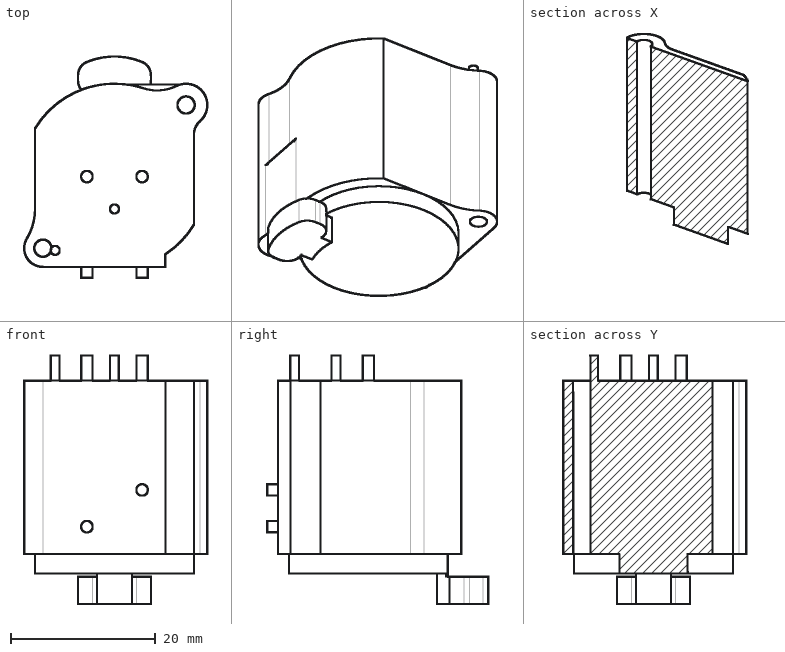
import cadquery as cq
import math

body_height = 24.0
body_radius = 12.85
flat_half_width = 11.0
bottom_flat_end = 7.05

lug_offset = 9.9
mount_hole_diameter = 2.35
rear_lug_radius = body_radius - lug_offset
front_face = 12.5
front_lug_radius = front_face - lug_offset

rear_side_fillet = 2.5
rear_top_fillet = 6.0
front_side_fillet = 7.9
ledge_height = body_height / 2
ledge_face = 12.75

boss_height = 2.7

lever_drop = 4.2
lever_gap = 0.4
lever_arm_half_width = 2.45
lever_arm_inner_radius = 9.8
lever_bottom = -boss_height - lever_drop
head_height = lever_drop - lever_gap
head_inner = 11.25
head_tip = 16.62
head_tip_radius = 10.0
head_half_width = 5.05
head_corner_radius = 2.0

large_pin_diameter = 1.6
small_pin_diameter = 1.25
pin_pitch = 2.54
pin_half_spacing = 1.5 * pin_pitch
top_pin_length = 3.5
side_pin_length = 1.5
large_pin_points = [(-pin_half_spacing, 0), (pin_half_spacing, 0)]
small_pin_points = [(0, -4.47), (-8.2, -10.2)]
low_side_pin_z = 3.8
side_pin_points = [
    (-pin_half_spacing, low_side_pin_z),
    (pin_half_spacing, low_side_pin_z + 2 * pin_pitch),
]


def toward(start, end, distance):
    """Point at a distance from start on the line to end."""
    ratio = distance / math.dist(start, end)
    return tuple(s + (e - s) * ratio for s, e in zip(start, end))


def midpoint(first, second):
    return (first[0] + second[0]) / 2, (first[1] + second[1]) / 2


def side_fillet_center(lug_radius, fillet_radius):
    """Center, in the +X +Y quadrant, of the fillet from a side flat to a lug."""
    x = flat_half_width + fillet_radius
    rise = math.sqrt((lug_radius + fillet_radius) ** 2 - (x - lug_offset) ** 2)
    return x, lug_offset - rise


def top_fillet_center():
    """Center of the fillet touching both the turned portion and the rear lug."""
    from_axis = body_radius + rear_top_fillet
    from_lug = rear_lug_radius + rear_top_fillet
    diagonal = math.hypot(lug_offset, lug_offset)
    along = (from_axis ** 2 - from_lug ** 2 + diagonal ** 2) / (2 * diagonal)
    across = math.sqrt(from_axis ** 2 - along ** 2)
    return (along - across) / math.sqrt(2), (along + across) / math.sqrt(2)


def make_body():
    axis = (0, 0)
    rear_lug = (lug_offset, lug_offset)
    front_lug = (-lug_offset, -lug_offset)
    corner_y = math.sqrt(body_radius ** 2 - flat_half_width ** 2)
    step_y = -math.sqrt(body_radius ** 2 - bottom_flat_end ** 2)

    rear_side = side_fillet_center(rear_lug_radius, rear_side_fillet)
    rear_top = top_fillet_center()
    mirrored_side = side_fillet_center(front_lug_radius, front_side_fillet)
    front_side = (-mirrored_side[0], -mirrored_side[1])

    rear_side_flat = (flat_half_width, rear_side[1])
    rear_side_lug = toward(rear_lug, rear_side, rear_lug_radius)
    front_side_flat = (-flat_half_width, front_side[1])
    front_side_lug = toward(front_lug, front_side, front_lug_radius)
    diagonal_tip = (2 * lug_offset, 2 * lug_offset)
    front_tip = (-2 * lug_offset, -2 * lug_offset)

    outline = (
        cq.Workplane("XY")
        .moveTo(-lug_offset, -front_face)
        .lineTo(bottom_flat_end, -front_face)
        .lineTo(bottom_flat_end, step_y)
        .threePointArc(
            toward(axis, (bottom_flat_end + flat_half_width, step_y - corner_y), body_radius),
            (flat_half_width, -corner_y),
        )
        .lineTo(*rear_side_flat)
        .threePointArc(
            toward(rear_side, midpoint(rear_side_flat, rear_side_lug), rear_side_fillet),
            rear_side_lug,
        )
        .threePointArc(
            toward(rear_lug, diagonal_tip, rear_lug_radius),
            toward(rear_lug, rear_top, rear_lug_radius),
        )
        .threePointArc(
            (rear_top[0], rear_top[1] - rear_top_fillet),
            toward(axis, rear_top, body_radius),
        )
        .threePointArc(
            toward(axis, (-1, 1), body_radius),
            (-flat_half_width, corner_y),
        )
        .lineTo(*front_side_flat)
        .threePointArc(
            toward(front_side, midpoint(front_side_flat, front_side_lug), front_side_fillet),
            front_side_lug,
        )
        .threePointArc(
            toward(front_lug, front_tip, front_lug_radius),
            (-lug_offset, -front_face),
        )
        .close()
    )
    return outline.extrude(body_height)


def make_ledge():
    """Block filling the lower part of the rear recess behind the turned portion."""
    return (
        cq.Workplane("XY", origin=(0, lug_offset, 0))
        .box(lug_offset, ledge_face - lug_offset, ledge_height, centered=False)
    )


def make_boss():
    return cq.Workplane("XY").circle(flat_half_width).extrude(-boss_height)


def make_lever_head():
    """Rounded plate with a crowned tip, hanging just below the boss."""
    corner_x = head_half_width - head_corner_radius
    lower_y = head_inner + head_corner_radius
    tip_center = (0, head_tip - head_tip_radius)
    reach = head_tip_radius - head_corner_radius
    upper_y = tip_center[1] + math.sqrt(reach ** 2 - corner_x ** 2)
    blend_x, blend_y = toward(tip_center, (corner_x, upper_y), head_tip_radius)
    return (
        cq.Workplane("XY", origin=(0, 0, lever_bottom))
        .moveTo(-corner_x, head_inner)
        .lineTo(corner_x, head_inner)
        .radiusArc((head_half_width, lower_y), -head_corner_radius)
        .lineTo(head_half_width, upper_y)
        .radiusArc((blend_x, blend_y), -head_corner_radius)
        .threePointArc((0, head_tip), (-blend_x, blend_y))
        .radiusArc((-head_half_width, upper_y), -head_corner_radius)
        .lineTo(-head_half_width, lower_y)
        .radiusArc((-corner_x, head_inner), -head_corner_radius)
        .close()
        .extrude(head_height)
    )


def lever_disc(radius):
    """Full-height disc about the shaft axis, used to shape the lever arm."""
    return cq.Workplane("XY", origin=(0, 0, lever_bottom)).circle(radius).extrude(lever_drop)


def arm_strip(height):
    return (
        cq.Workplane("XY", origin=(0, head_inner / 2, lever_bottom))
        .rect(2 * lever_arm_half_width, head_inner)
        .extrude(height)
    )


def make_lever_arm():
    """Arm with a concave inner end, rising to the boss only within the boss outline."""
    riser = arm_strip(lever_drop).intersect(lever_disc(flat_half_width))
    return arm_strip(head_height).union(riser).cut(lever_disc(lever_arm_inner_radius))


def make_top_pins(points, diameter):
    return (
        cq.Workplane("XY", origin=(0, 0, body_height))
        .pushPoints(points)
        .circle(diameter / 2)
        .extrude(top_pin_length)
    )


def make_side_pins():
    return (
        cq.Workplane("XZ", origin=(0, -front_face, 0))
        .pushPoints(side_pin_points)
        .circle(large_pin_diameter / 2)
        .extrude(side_pin_length)
    )


def make_mount_holes():
    return (
        cq.Workplane("XY")
        .pushPoints([(lug_offset, lug_offset), (-lug_offset, -lug_offset)])
        .circle(mount_hole_diameter / 2)
        .extrude(body_height)
    )


result = (
    make_body()
    .union(make_ledge())
    .cut(make_mount_holes())
    .union(make_boss())
    .union(make_lever_head())
    .union(make_lever_arm())
    .union(make_top_pins(large_pin_points, large_pin_diameter))
    .union(make_top_pins(small_pin_points, small_pin_diameter))
    .union(make_side_pins())
)